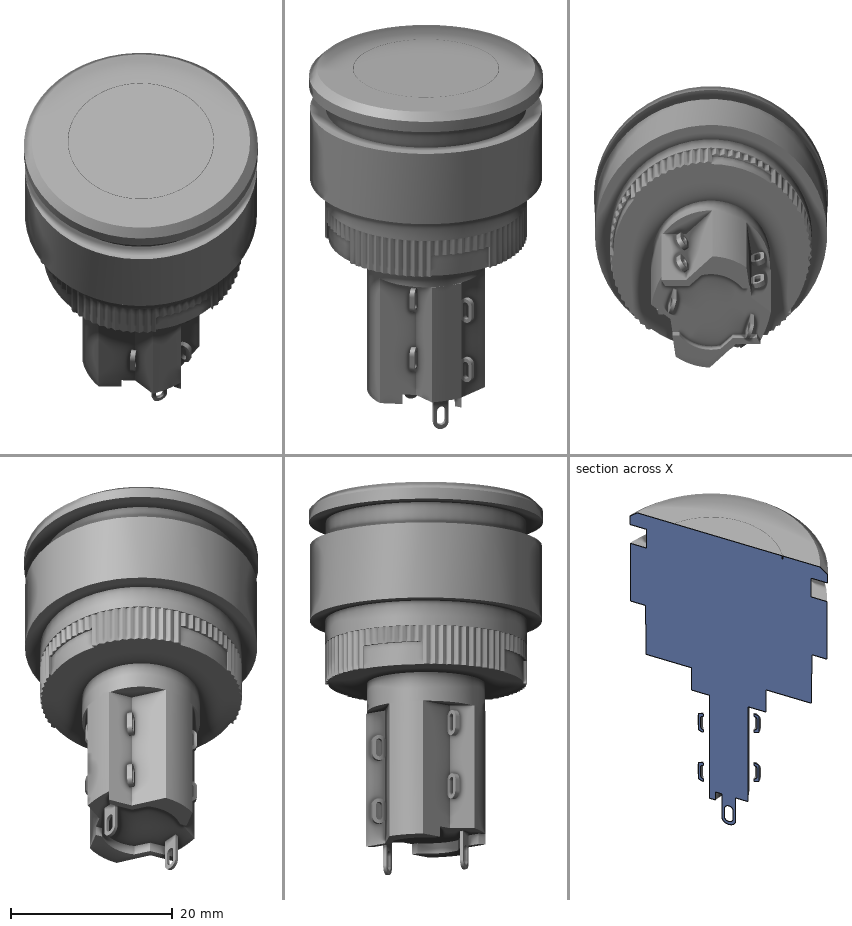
import cadquery as cq
import math

total_height = 46.55
bezel_chamfer_bottom = 45.6
bezel_bottom = 44.2
collar_top = 41.23
collar_bottom = 31.75
knurl_top = 28.65
pad_top = 26.6
knurl_bottom = 23.8
sleeve_bottom = 20.15
bay_roof = 4.65
body_bottom = 3.35

bezel_radius = 29.0 / 2
bezel_chamfer_width = 1.0
collar_radius = 28.75 / 2
upper_neck_radius = 24.85 / 2
neck_radius = 25.0 / 2
sleeve_radius = 14.6 / 2

button_diameter = 18.0
button_gap_diameter = 18.1
button_gap_depth = 0.45

tooth_count = 78
tooth_depth = 0.255
pad_radius = 12.1
pad_width = 7.8

arm_tip = sleeve_radius
x_arm_edge = (7.15, 1.95)
y_arm_edge = (2.25, 7.0)
notch_corner = (4.3, 3.0)

bay_tip = (6.45, 1.35)
bay_corner = (3.68, 2.35)
bay_shoulder = (2.7, 4.2)
bay_radius = math.hypot(*bay_shoulder)

opening_arm_edge = x_arm_edge
opening_wall_edge = (3.5, -4.45)

terminal_x = 5.05
terminal_width = 1.95
terminal_thickness = 0.4
terminal_hole_width = 1.1
terminal_hole_length = 2.45
terminal_hole_bottom = 0.55

lug_length = 1.7
lug_height = 3.15
lug_thickness = 0.6
lug_rim = 0.45
lug_side_offset = 0.1
lug_pitch = 8.0
low_lug_height = 7.35
high_lug_height = 9.8


def extrude_between(sketch, bottom, top):
    """Extrude a sketch drawn at Z = 0 so it spans the two heights."""
    return sketch.extrude(top - bottom).translate((0, 0, bottom))


def disc(radius, bottom, top):
    return extrude_between(cq.Workplane("XY").circle(radius), bottom, top)


def make_head():
    """Bezel, collar and necks turned about Z, with the gap around the button."""
    head = (
        cq.Workplane("XZ")
        .moveTo(0, knurl_top)
        .lineTo(neck_radius, knurl_top)
        .lineTo(neck_radius, collar_bottom)
        .lineTo(collar_radius, collar_bottom)
        .lineTo(collar_radius, collar_top)
        .lineTo(upper_neck_radius, collar_top)
        .lineTo(upper_neck_radius, bezel_bottom)
        .lineTo(bezel_radius, bezel_bottom)
        .lineTo(bezel_radius, bezel_chamfer_bottom)
        .lineTo(bezel_radius - bezel_chamfer_width, total_height)
        .lineTo(0, total_height)
        .close()
        .revolve(360, (0, 0, 0), (0, 1, 0))
    )
    gap_rings = cq.Workplane("XY").circle(button_gap_diameter / 2).circle(button_diameter / 2)
    return head.cut(extrude_between(gap_rings, total_height - button_gap_depth, total_height))


def make_knurled_ring():
    """V-toothed ring with a smooth recessed pad on each of its four sides."""
    points = []
    for step in range(2 * tooth_count):
        radius = neck_radius if step % 2 == 0 else neck_radius - tooth_depth
        angle = math.pi * step / tooth_count
        points.append((radius * math.cos(angle), radius * math.sin(angle)))
    ring = extrude_between(cq.Workplane("XY").polyline(points).close(), knurl_bottom, knurl_top)

    pad_cross = (
        cq.Workplane("XY")
        .rect(pad_width, 2 * bezel_radius)
        .extrude(pad_top)
        .union(cq.Workplane("XY").rect(2 * bezel_radius, pad_width).extrude(pad_top))
    )
    return ring.cut(pad_cross.cut(disc(pad_radius, 0, pad_top)))


def make_body():
    """Cross-shaped bar with arched arm ends and a wide V notch in each corner."""
    x_edge_x, x_edge_y = x_arm_edge
    y_edge_x, y_edge_y = y_arm_edge
    notch_x, notch_y = notch_corner
    outline = (
        cq.Workplane("XY")
        .moveTo(x_edge_x, -x_edge_y)
        .threePointArc((arm_tip, 0), (x_edge_x, x_edge_y))
        .lineTo(notch_x, notch_y)
        .lineTo(y_edge_x, y_edge_y)
        .threePointArc((0, arm_tip), (-y_edge_x, y_edge_y))
        .lineTo(-notch_x, notch_y)
        .lineTo(-x_edge_x, x_edge_y)
        .threePointArc((-arm_tip, 0), (-x_edge_x, -x_edge_y))
        .lineTo(-notch_x, -notch_y)
        .lineTo(-y_edge_x, -y_edge_y)
        .threePointArc((0, -arm_tip), (y_edge_x, -y_edge_y))
        .lineTo(notch_x, -notch_y)
        .close()
    )
    return extrude_between(outline, body_bottom, sleeve_bottom)


def make_bay():
    """Hollow for the terminals, with walls following the notches."""
    tip_x, tip_y = bay_tip
    corner_x, corner_y = bay_corner
    shoulder_x, shoulder_y = bay_shoulder
    outline = (
        cq.Workplane("XY")
        .moveTo(tip_x, -tip_y)
        .lineTo(tip_x, tip_y)
        .lineTo(corner_x, corner_y)
        .lineTo(shoulder_x, shoulder_y)
        .threePointArc((0, bay_radius), (-shoulder_x, shoulder_y))
        .lineTo(-corner_x, corner_y)
        .lineTo(-tip_x, tip_y)
        .lineTo(-tip_x, -tip_y)
        .lineTo(-corner_x, -corner_y)
        .lineTo(-shoulder_x, -shoulder_y)
        .threePointArc((0, -bay_radius), (shoulder_x, -shoulder_y))
        .lineTo(corner_x, -corner_y)
        .close()
    )
    return extrude_between(outline, body_bottom, bay_roof)


def make_opening():
    """Opening from the end of the +X arm round to the side of the -Y arm."""
    outline = [
        bay_tip,
        opening_arm_edge,
        (sleeve_radius, opening_arm_edge[1]),
        (sleeve_radius, opening_wall_edge[1]),
        opening_wall_edge,
        (bay_shoulder[0], -bay_shoulder[1]),
        (bay_corner[0], 0),
    ]
    return extrude_between(cq.Workplane("XY").polyline(outline).close(), body_bottom, bay_roof)


def make_terminal(center_x):
    """Flat tab with a rounded tip and an eyelet, hanging from the bay roof."""
    tip_radius = terminal_width / 2
    blade = (
        cq.Workplane("YZ")
        .moveTo(-tip_radius, bay_roof)
        .lineTo(-tip_radius, tip_radius)
        .threePointArc((0, 0), (tip_radius, tip_radius))
        .lineTo(tip_radius, bay_roof)
        .close()
        .extrude(terminal_thickness / 2, both=True)
    )
    eyelet = (
        cq.Workplane("YZ")
        .center(0, terminal_hole_bottom + terminal_hole_length / 2)
        .slot2D(terminal_hole_length, terminal_hole_width, 90)
        .extrude(terminal_thickness, both=True)
    )
    return blade.cut(eyelet).translate((center_x, 0, 0))


def make_lug(side_x, side_y, height):
    """Upright oblong eyelet standing out radially from a notch corner."""
    center_radius = math.hypot(*notch_corner) + lug_length / 2
    lug = (
        cq.Workplane("XZ")
        .slot2D(lug_height, lug_length, 90)
        .slot2D(lug_height - 2 * lug_rim, lug_length - 2 * lug_rim, 90)
        .extrude(lug_thickness / 2, both=True)
    )
    side_offset = side_x * side_y * lug_side_offset
    notch_angle = math.degrees(math.atan2(side_y * notch_corner[1], side_x * notch_corner[0]))
    return lug.translate((center_radius, side_offset, height)).rotate((0, 0, 0), (0, 0, 1), notch_angle)


result = make_head()
result = result.union(make_knurled_ring())
result = result.union(disc(sleeve_radius, sleeve_bottom, knurl_bottom))
result = result.union(make_body())
result = result.cut(make_bay())

for turn in (0, 180):
    result = result.cut(make_opening().rotate((0, 0, 0), (0, 0, 1), turn))

for center_x in (-terminal_x, terminal_x):
    result = result.union(make_terminal(center_x))

for side_x in (-1, 1):
    for side_y in (-1, 1):
        lower_height = low_lug_height if side_x == side_y else high_lug_height
        for height in (lower_height, lower_height + lug_pitch):
            result = result.union(make_lug(side_x, side_y, height))